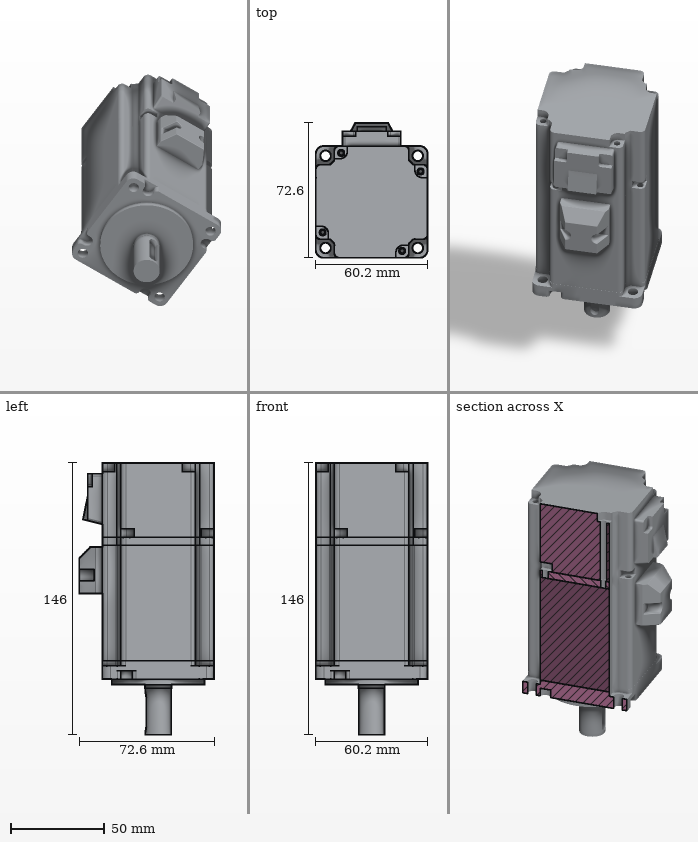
import cadquery as cq
import math


ear_top_z = 7.2
flange_top_z = 9.8
stator_top_z = 71.8
plate_top_z = 76.0
cover_top_z = 116.0

body_width = 60.0
body_half = body_width / 2
notch_wall = 20.0
notch_chamfer = 2.3
corner_radius = 2.6
stator_blend_radius = 1.0
flange_corner_radius = 2.3
flange_blend_radius = 1.5

flange_width = 60.2
ear_corner_radius = 4.4
mount_spacing = 49.5
mount_hole_diameter = 5.5
pilot_diameter = 50.0
pilot_height = 2.9

stator_screw_offset = 17.0
stator_screw_reach = 27.2

nut_pocket_radius = 3.0
nut_pocket_height = 4.5
nut_pocket_lip_radius = 1.9

cover_screw_offset = 16.4
cover_screw_reach = 26.3
screw_hole_diameter = 3.5
tapped_hole_diameter = 2.5
screw_pocket_height = 4.7
screw_pocket_end = 13.0
screw_pocket_floor = 23.2
screw_pocket_radius = 4.1

shaft_diameter = 14.0
shaft_end_z = cover_top_z - 146
collar_diameter = 14.3
collar_height = 1.9
key_width = 5.0
key_depth = 3.0
key_length = 21.0
key_end_gap = 1.8

encoder_width = 31.4
encoder_face_y = 38.0
encoder_top_z = 110.2
encoder_base_z = 83.1
encoder_tilt = math.radians(14)
encoder_edge_radius = 1.2
shoulder_blend_radius = 1.3
shoulder_z = 103.2
shoulder_back_y = 35.3
shoulder_inner_x = 8.6
wedge_width = 15.6
wedge_tip_y = 40.5
wedge_height = 12.1

power_bottom_z = 45.8
power_top_z = 71.0
power_face_y = 42.5
power_face_half = 8.8
power_base_y = 33.9
power_base_half = 13.5
power_chamfer = 6.1
power_edge_radius = 0.3
grip_start_y = 34.5
grip_z = 55.9
grip_radius = 3.0
grip_slot_length = 14.6


def four_fold(shape):
    """Four copies of a shape, a quarter turn apart about the Z axis."""
    return [shape.rotate((0, 0, 0), (0, 0, 1), 90 * turn) for turn in range(4)]


def cut_all(body, cutters):
    for cutter in cutters:
        body = body.cut(cutter)
    return body


def cylinder(diameter, x, y, bottom, top):
    return cq.Workplane("XY", origin=(x, y, bottom)).circle(diameter / 2).extrude(top - bottom)


def square_block(width, bottom, top):
    return cq.Workplane("XY").workplane(offset=bottom).rect(width, width).extrude(top - bottom)


def corner_notch(bottom, top):
    """Prism that takes away the +X +Y corner and leaves a bevel in the inner corner."""
    bevel_end = notch_wall + notch_chamfer
    beyond = flange_width
    return (
        cq.Workplane("XY", origin=(0, 0, bottom))
        .polyline([
            (notch_wall, bevel_end),
            (notch_wall, beyond),
            (beyond, beyond),
            (beyond, notch_wall),
            (bevel_end, notch_wall),
        ])
        .close()
        .extrude(top - bottom)
    )


def cross_block(width, bottom, top, outer_radius, blend_radius=0):
    """Square block without its four corners, rounded beside the notches and blended at the bevels."""
    outer_edges = "(<X or >X or <Y or >Y)"
    body = cut_all(square_block(width, bottom, top), four_fold(corner_notch(bottom, top)))
    if blend_radius:
        body = body.edges(f"|Z and (not {outer_edges})").fillet(blend_radius)
    return body.edges(f"|Z and {outer_edges}").fillet(outer_radius)


def screw_pocket(bottom):
    """Pocket around the screw on the +Y side, next to the -X +Y notch."""
    width = notch_wall - screw_pocket_end
    depth = body_half - screw_pocket_floor
    return (
        cq.Workplane("XY", origin=(-notch_wall, screw_pocket_floor, bottom))
        .rect(width, depth, centered=False)
        .extrude(screw_pocket_height)
        .edges("|Z and >X and <Y")
        .fillet(screw_pocket_radius)
    )


def cover_screw_hole(diameter, bottom, top):
    """Hole for the screw on the +Y side that holds the cover."""
    return cylinder(diameter, -cover_screw_offset, cover_screw_reach, bottom, top)


def nut_pocket():
    """Half-round pocket under the flange that opens on the +Y side with rounded lips."""
    side_y = flange_width / 2
    lip = nut_pocket_lip_radius
    wall = nut_pocket_radius
    lip_middle = lip * (1 - math.sqrt(0.5))
    return (
        cq.Workplane("XY", origin=(stator_screw_offset, 0, 0))
        .moveTo(-wall - lip, side_y)
        .threePointArc((-wall - lip_middle, side_y - lip_middle), (-wall, side_y - lip))
        .lineTo(-wall, stator_screw_reach)
        .threePointArc((0, stator_screw_reach - wall), (wall, stator_screw_reach))
        .lineTo(wall, side_y - lip)
        .threePointArc((wall + lip_middle, side_y - lip_middle), (wall + lip, side_y))
        .close()
        .extrude(nut_pocket_height)
    )


def front_flange():
    body = square_block(flange_width, 0, ear_top_z).edges("|Z").fillet(ear_corner_radius)
    body = body.union(
        cross_block(flange_width, ear_top_z, flange_top_z, flange_corner_radius, flange_blend_radius)
    )
    mount_hole = cylinder(mount_hole_diameter, mount_spacing / 2, mount_spacing / 2, 0, ear_top_z)
    body = cut_all(body, four_fold(mount_hole))
    body = cut_all(body, four_fold(nut_pocket()))
    return body.union(cylinder(pilot_diameter, 0, 0, -pilot_height, 0))


def motor_shaft():
    """Plain shaft with a collar against the pilot and a round-ended keyway on its +Y side."""
    body = cylinder(shaft_diameter, 0, 0, shaft_end_z, -pilot_height)
    body = body.union(cylinder(collar_diameter, 0, 0, -pilot_height - collar_height, -pilot_height))
    key_center_z = shaft_end_z + key_end_gap + key_length / 2
    keyway = (
        cq.Workplane("XZ", origin=(0, shaft_diameter / 2, key_center_z))
        .slot2D(key_length, key_width, 90)
        .extrude(key_depth)
    )
    return body.cut(keyway)


def stator():
    return cross_block(body_width, flange_top_z, stator_top_z, corner_radius, stator_blend_radius)


def bearing_plate():
    body = cross_block(body_width, stator_top_z, plate_top_z, corner_radius)
    body = cut_all(body, four_fold(cover_screw_hole(tapped_hole_diameter, stator_top_z, plate_top_z)))
    plate_hole = cylinder(screw_hole_diameter, stator_screw_offset, stator_screw_reach, stator_top_z, plate_top_z)
    return cut_all(body, four_fold(plate_hole))


def rear_cover():
    body = cross_block(body_width, plate_top_z, cover_top_z, corner_radius)
    upper_pocket = screw_pocket(cover_top_z - screw_pocket_height)
    lower_pocket = screw_pocket(plate_top_z).mirror("YZ")
    body = cut_all(body, four_fold(upper_pocket) + four_fold(lower_pocket))
    return cut_all(body, four_fold(cover_screw_hole(screw_hole_diameter, plate_top_z, cover_top_z)))


def underside_z(y):
    """Height of the tilted underside of the encoder connector."""
    return encoder_base_z + (y - body_half) * math.tan(encoder_tilt)


def shoulder():
    """Corner taken out beside the middle of the connector, with a blend along its inner edge."""
    return (
        cq.Workplane("XY", origin=(shoulder_inner_x, shoulder_back_y, shoulder_z))
        .rect(encoder_width, encoder_width, centered=False)
        .extrude(encoder_width)
        .edges("|Y and <X and <Z")
        .fillet(shoulder_blend_radius)
    )


def wedge():
    """Wedge on the face of the encoder connector that continues its underside."""
    tip_z = underside_z(wedge_tip_y)
    return (
        cq.Workplane("YZ")
        .polyline([
            (encoder_face_y, underside_z(encoder_face_y)),
            (wedge_tip_y, tip_z),
            (encoder_face_y, tip_z + wedge_height),
        ])
        .close()
        .extrude(wedge_width / 2, both=True)
    )


def encoder_connector():
    """Plug with a tilted underside, two shoulders at the top and a wedge on its face."""
    block = (
        cq.Workplane("YZ")
        .polyline([
            (body_half, encoder_base_z),
            (encoder_face_y, underside_z(encoder_face_y)),
            (encoder_face_y, encoder_top_z),
            (body_half, encoder_top_z),
        ])
        .close()
        .extrude(encoder_width / 2, both=True)
        .edges("(<X or >X) and (not |Z)")
        .fillet(encoder_edge_radius)
    )
    right_shoulder = shoulder()
    return cut_all(block, [right_shoulder, right_shoulder.mirror("YZ")]).union(wedge())


def finger_groove():
    """Round-bottomed groove that opens on the +X flank and the outer face of the power connector."""
    return (
        cq.Workplane("XZ", origin=(power_face_half - grip_radius, power_face_y, grip_z))
        .center(grip_slot_length / 2, 0)
        .slot2D(grip_slot_length, 2 * grip_radius)
        .extrude(power_face_y - grip_start_y)
    )


def power_connector():
    """Tapered plug with a bevelled top and a round finger groove on each flank."""
    body = (
        cq.Workplane("XY", origin=(0, 0, power_bottom_z))
        .polyline([
            (-power_base_half, body_half),
            (-power_base_half, power_base_y),
            (-power_face_half, power_face_y),
            (power_face_half, power_face_y),
            (power_base_half, power_base_y),
            (power_base_half, body_half),
        ])
        .close()
        .extrude(power_top_z - power_bottom_z)
        .faces(">Y").edges(">Z")
        .chamfer(power_chamfer)
    )
    groove = finger_groove()
    body = cut_all(body, [groove, groove.mirror("YZ")])
    exposed_edges = cq.selectors.BoxSelector(
        (-power_base_half - 1.5, body_half + 0.1, power_bottom_z - 1.5),
        (power_base_half + 1.5, power_face_y + 1.5, power_top_z + 1.5),
    )
    return body.edges(exposed_edges).fillet(power_edge_radius)


result = cq.Compound.makeCompound([
    front_flange().val(),
    motor_shaft().val(),
    stator().val(),
    bearing_plate().val(),
    rear_cover().val(),
    encoder_connector().val(),
    power_connector().val(),
])